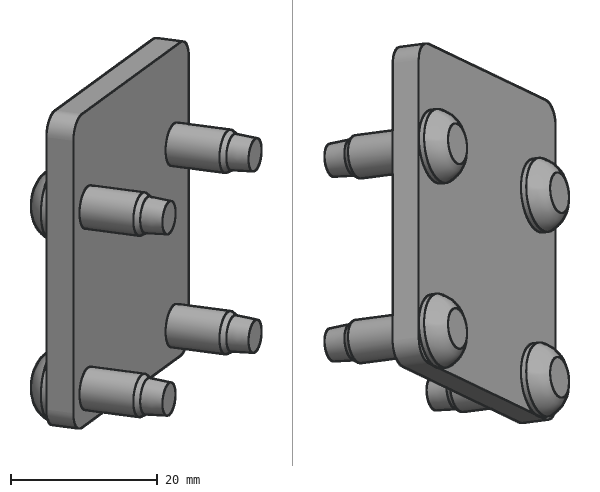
import cadquery as cq

total_length = 19.3
plate_width = 40.3
total_height = 45.1

plate_thickness = 4.0
corner_radius = 2.98

pitch_y = 30.05
pitch_z = 26.02

head_radius = 5.1
head_height = 3.3
head_rim = 0.8
face_radius = 2.8
dome_arc_radius = 4.0

pin_diameter = 6.0
pin_radius = pin_diameter / 2
shoulder_radius = 2.53
tip_radius = 2.3
shoulder_length = 0.8
tip_length = 3.2

head_face_x = -head_height
tip_x = head_face_x + total_length
shoulder_end_x = tip_x - tip_length
shoulder_start_x = shoulder_end_x - shoulder_length

lower_row_z = head_radius
plate_overhang = 0.1
plate_height = total_height - plate_overhang


def make_plate():
    """Upright plate with rounded corners."""
    plate = cq.Workplane("XY").box(
        plate_thickness, plate_width, plate_height, centered=(False, True, False)
    )
    return plate.edges("|X").fillet(corner_radius).translate((0, 0, plate_overhang))


def make_rivet():
    """Head and pin revolved as one body about the X axis."""
    profile = (
        cq.Workplane("XY")
        .moveTo(head_face_x, 0)
        .lineTo(head_face_x, face_radius)
        .radiusArc((-head_rim, head_radius), dome_arc_radius)
        .lineTo(0, head_radius)
        .lineTo(0, pin_radius)
        .lineTo(shoulder_start_x, pin_radius)
        .lineTo(shoulder_end_x, shoulder_radius)
        .lineTo(tip_x, tip_radius)
        .lineTo(tip_x, 0)
        .close()
    )
    return profile.revolve(360, (0, 0, 0), (1, 0, 0))


result = make_plate()
rivet = make_rivet()
for y in (-pitch_y / 2, pitch_y / 2):
    for z in (lower_row_z, lower_row_z + pitch_z):
        result = result.union(rivet.translate((0, y, z)))